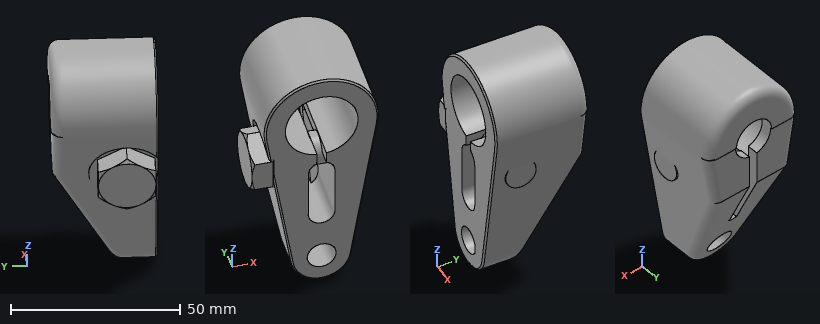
import cadquery as cq
import math

head_radius = 17.5
foot_radius = 9.3
foot_z = -50.85
depth = 31.3
head_step = 0.5
back_fillet = 2.9
front_chamfer = 0.55
slope_start_z = -18.25
slope_angle = 25.3
slope_run = math.tan(math.radians(slope_angle))

bore_diameter = 22.2
shaft_diameter = 13.6
back_wall = 3.9
foot_hole_diameter = 8.8
slit_width = 2.9
slot_width = 8.15
slot_top_z = -14.45
slot_bottom_z = -38.1

bolt_y = 9.5
bolt_z = -16.6
shank_diameter = 10.2
shank_end_x = 15.45
hex_flats = 17.0
hex_corners = hex_flats / math.cos(math.pi / 6)
head_outer_x = -21.05
seat_x = -14.6
seat_radius = 11.1
hex_chamfer = 0.85

margin = 7.8


def disc(diameter, start_y, end_y, z=0.0):
    """Cylinder along Y between two depths."""
    plane = cq.Workplane("XZ", origin=(0, start_y, z))
    return plane.circle(diameter / 2).extrude(start_y - end_y)


def rod(diameter, start_x, end_x):
    """Cylinder along X on the bolt axis."""
    plane = cq.Workplane("YZ", origin=(start_x, bolt_y, bolt_z))
    return plane.circle(diameter / 2).extrude(end_x - start_x)


def side_prism(points):
    """Prism spanning the full width from a (Y, Z) outline."""
    return cq.Workplane("YZ").polyline(points).close().extrude(2 * head_radius, both=True)


def lever_body():
    """Two arcs joined by tangent flanks, with a tapered and rounded back."""
    sine = (head_radius - foot_radius) / -foot_z
    cosine = math.sqrt(1 - sine**2)
    head_x, head_z = head_radius * cosine, -head_radius * sine
    foot_x, foot_end_z = foot_radius * cosine, foot_z - foot_radius * sine
    outline = (
        cq.Workplane("XZ")
        .moveTo(-head_x, head_z)
        .threePointArc((0, head_radius), (head_x, head_z))
        .lineTo(foot_x, foot_end_z)
        .threePointArc((0, foot_z - foot_radius), (-foot_x, foot_end_z))
        .close()
    )

    bottom_z = foot_z - foot_radius - margin
    top_z = head_radius + margin
    bottom_y = depth - (slope_start_z - bottom_z) * slope_run
    top_y = depth + (top_z - slope_start_z) * slope_run
    slope_space = side_prism([(-margin, bottom_z), (bottom_y, bottom_z), (top_y, top_z), (-margin, top_z)])
    block = outline.extrude(-top_y)
    upright_space = side_prism([(-margin, bottom_z), (depth, bottom_z), (depth, top_z), (-margin, top_z)])
    upright = block.intersect(upright_space).faces(">Y").edges().fillet(back_fillet)
    sloped = block.intersect(slope_space).faces(">Y").edges().fillet(back_fillet)

    body = upright.intersect(sloped)
    return body.faces("<Y").edges().chamfer(front_chamfer)


def with_head_cap(body):
    """Replace the rounded rear of the upper head half by a slightly deeper one."""
    start_y = depth - back_fillet
    end_y = depth + head_step
    top_z = head_radius + margin
    upper_rear = side_prism([(start_y, 0), (end_y, 0), (end_y, top_z), (start_y, top_z)])
    cap = disc(2 * head_radius, bolt_y, end_y).faces(">Y").edges().fillet(end_y - start_y)
    return body.cut(upper_rear).union(cap.intersect(upper_rear))


def slot_space():
    """Space lying in front of the back surface, inset by the back wall."""
    back_y = depth - back_wall
    kink_z = slope_start_z + back_wall * math.tan(math.radians(slope_angle) / 2)
    bottom_z = foot_z - foot_radius - margin
    bottom_y = back_y - (kink_z - bottom_z) * slope_run
    top_z = head_radius + margin
    return side_prism(
        [(-margin, top_z), (back_y, top_z), (back_y, kink_z), (bottom_y, bottom_z), (-margin, bottom_z)]
    )


def slot_cut():
    """Round-ended pocket whose floor follows the back surface."""
    plane = cq.Workplane("XZ", origin=(0, 0, (slot_top_z + slot_bottom_z) / 2))
    slot = plane.slot2D(slot_top_z - slot_bottom_z, slot_width, 90).extrude(-depth)
    return slot.intersect(slot_space())


def slit_cut():
    """Clamping slit through the full depth, from the bore to the slot's round lower end."""
    plane = cq.Workplane("XZ", origin=(0, 0, slot_bottom_z))
    slit = plane.rect(slit_width, -slot_bottom_z, centered=(True, False)).extrude(-depth - margin)
    lower_end = disc(slot_width, 0, depth + margin, slot_bottom_z + slot_width / 2)
    straight = slit.translate((0, 0, slot_width / 2))
    return slit.intersect(lower_end).union(straight)


def bolt():
    """Hexagon head with chamfered corners and a plain shank."""
    plane = cq.Workplane("YZ", origin=(head_outer_x, bolt_y, bolt_z)).transformed(rotate=(0, 0, 90))
    hexagon = plane.polygon(6, hex_corners).extrude(seat_x - head_outer_x)
    corner_depth = (hex_corners - hex_flats) / 2
    rounding = rod(hex_corners, head_outer_x, seat_x)
    rounding = rounding.faces("<X").edges().chamfer(hex_chamfer, corner_depth)
    return hexagon.intersect(rounding).union(rod(shank_diameter, seat_x, shank_end_x))


result = with_head_cap(lever_body())
result = result.cut(disc(bore_diameter, 0, depth - back_wall))
result = result.cut(disc(shaft_diameter, 0, depth + margin))
result = result.cut(disc(foot_hole_diameter, 0, depth, foot_z))
result = result.cut(slot_cut()).cut(slit_cut())
result = result.cut(rod(2 * seat_radius, seat_x - margin, seat_x))
result = result.union(bolt())